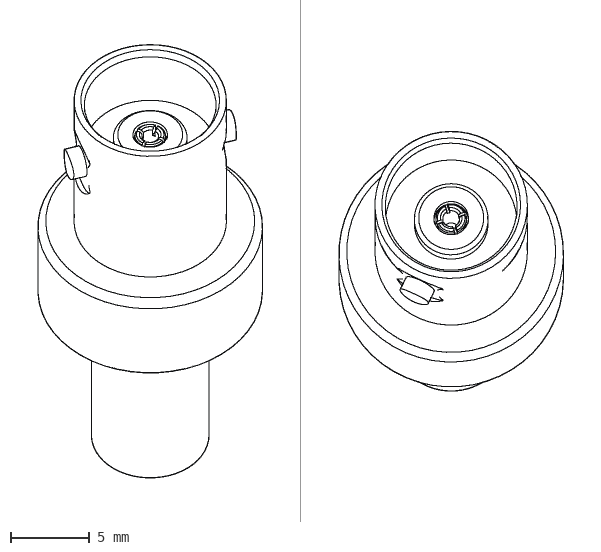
import cadquery as cq
import math

total_length = 31.3

tail_radius = 3.75
tail_length = 13.0

flange_diameter = 14.3
flange_radius = flange_diameter / 2
flange_top = 20.0
flange_chamfer = 0.5

barrel_radius = 4.85
bore_radius = 4.2
mouth_radius = 4.4
mouth_chamfer_depth = 0.45
bore_depth = 4.5

pin_height = 27.17
groove_width = 2.57
groove_depth = 0.15

pin_radius = 1.0
pin_tip = 5.55
spot_face = 4.57
spot_floor_radius = 2.1
spot_edge_radius = 2.25

boss_radius = 2.35
boss_height = 1.3
boss_chamfer = 0.28

clearance_radius = 1.1
clearance_depth = 0.63
contact_radius = 0.97
contact_chamfer = 0.1
contact_bore_radius = 0.53
contact_bore_depth = 3.13
contact_countersink = 0.15
contact_slot_width = 0.2

floor_height = total_length - bore_depth
boss_top = floor_height + boss_height


def cylinder(radius, bottom, top):
    """Cylinder on the Z axis between two heights."""
    return cq.Workplane("XY").workplane(offset=bottom).circle(radius).extrude(top - bottom)


def make_shell():
    """Tail tube, flange and hollow barrel turned as one profile."""
    groove_bottom = pin_height - groove_width / 2
    groove_top = pin_height + groove_width / 2
    profile = (
        cq.Workplane("XZ")
        .moveTo(0, 0)
        .lineTo(tail_radius, 0)
        .lineTo(tail_radius, tail_length)
        .lineTo(flange_radius - flange_chamfer, tail_length)
        .lineTo(flange_radius, tail_length + flange_chamfer)
        .lineTo(flange_radius, flange_top - flange_chamfer)
        .lineTo(flange_radius - flange_chamfer, flange_top)
        .lineTo(barrel_radius, flange_top)
        .lineTo(barrel_radius, groove_bottom)
        .threePointArc((barrel_radius - groove_depth, pin_height), (barrel_radius, groove_top))
        .lineTo(barrel_radius, total_length)
        .lineTo(mouth_radius, total_length)
        .lineTo(bore_radius, total_length - mouth_chamfer_depth)
        .lineTo(bore_radius, floor_height)
        .lineTo(0, floor_height)
        .close()
    )
    return profile.revolve(360, (0, 0, 0), (0, 1, 0))


def make_spot_face():
    """Cutter for the flat around the front pin, with a flared wall."""
    flare = (spot_edge_radius - spot_floor_radius) / (barrel_radius - spot_face)
    cutter_depth = pin_tip - spot_face
    return (
        cq.Workplane("XZ", origin=(0, -spot_face, pin_height))
        .circle(spot_floor_radius)
        .extrude(cutter_depth, taper=-math.degrees(math.atan(flare)))
    )


def make_pin():
    """Front bayonet pin, rooted in the barrel wall, its tip curved about the main axis."""
    root = (bore_radius + spot_face) / 2
    pin = (
        cq.Workplane("XZ", origin=(0, -root, pin_height))
        .circle(pin_radius)
        .extrude(pin_tip - root)
    )
    return pin.intersect(cylinder(pin_tip, flange_top, total_length))


def make_boss():
    """Insulator boss standing on the bore floor."""
    boss = cylinder(boss_radius, floor_height, boss_top)
    return boss.faces(">Z").chamfer(boss_chamfer)


def make_clearance_ring():
    """Cutter for the ring that sets the contact free, chamfering the contact's outer edge."""
    ring_floor = boss_top - clearance_depth
    contact = cylinder(contact_radius, ring_floor, boss_top)
    contact = contact.faces(">Z").chamfer(contact_chamfer)
    return cylinder(clearance_radius, ring_floor, boss_top).cut(contact)


def make_contact_bore():
    """Cutter for the blind, countersunk bore of the contact."""
    bore = cylinder(contact_bore_radius, boss_top - contact_bore_depth, boss_top)
    countersink = (
        cq.Workplane("XY", origin=(0, 0, boss_top))
        .circle(contact_bore_radius + contact_countersink)
        .extrude(-contact_countersink, taper=45)
    )
    return bore.union(countersink)


def make_contact_slot():
    """Cutter for one slot across the contact, as deep as the clearance ring."""
    return (
        cq.Workplane("XY", origin=(0, 0, boss_top))
        .rect(2 * contact_radius, contact_slot_width)
        .extrude(-clearance_depth)
    )


result = make_shell()
for side_angle in (0, 180):
    result = result.cut(make_spot_face().rotate((0, 0, 0), (0, 0, 1), side_angle))
    result = result.union(make_pin().rotate((0, 0, 0), (0, 0, 1), side_angle))
result = result.union(make_boss())
result = result.cut(make_clearance_ring())
result = result.cut(make_contact_bore())
for slot_angle in (45, 135):
    result = result.cut(make_contact_slot().rotate((0, 0, 0), (0, 0, 1), slot_angle))